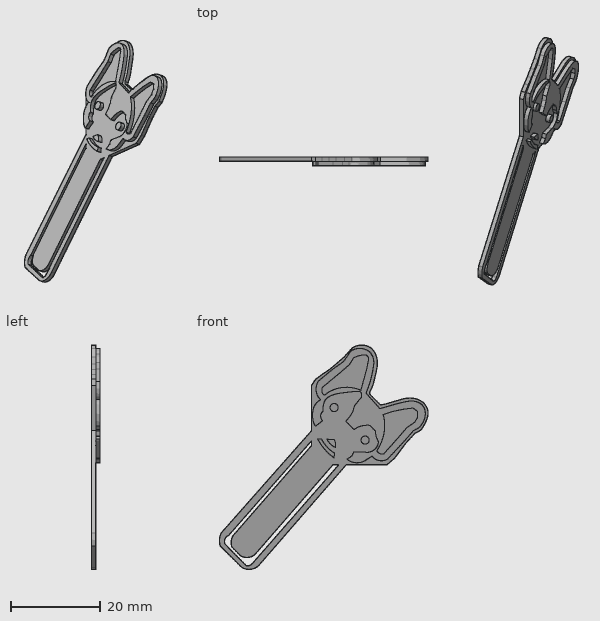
import cadquery as cq

TOTAL_THICKNESS = 2.0
RELIEF_HEIGHT = 1.0
PLATE_THICKNESS = TOTAL_THICKNESS - RELIEF_HEIGHT

EYE_DIAMETER = 1.8
EYE_CENTRES = [(25.7, 36.2), (32.65, 28.95)]


HEAD_LEFT = 20.65
HEAD_BOTTOM = 23.4

PLATE_START = (HEAD_LEFT, 31.05)
PLATE_EDGES = [
    [(HEAD_LEFT, 41.15)],
    [(21.55, 42.55)],
    [(23.05, 43.65)],
    [(24.6, 44.7)],
    [(26.1, 45.95)],
    [(27.95, 47.55)],
    [(29.65, 49.4)],
    [(30.75, 50.0), (32.25, 50.15), (33.9, 49.55), (35.0, 48.1),
     (35.4, 46.2), (35.05, 43.85), (34.45, 41.4), (33.7, 39.7)],
    [(33.7, 39.15)],
    [(36.05, 36.8)],
    [(39.0, 37.55), (43.35, 38.3), (45.7, 37.25), (46.7, 35.4), (46.2, 33.0), (45.1, 31.15)],
    [(43.75, 30.4)],
    [(41.8, 28.25)],
    [(40.5, 26.5)],
    [(39.2, 24.85)],
    [(37.5, HEAD_BOTTOM)],
    [(28.4, HEAD_BOTTOM)],
    [(9.15, 1.2)],
    [(6.85, 0.0), (5.05, 0.45)],
    [(0.25, 5.2)],
    [(0.05, 6.75), (0.45, 8.2)],
]

OPENING_START = (HEAD_LEFT, 28.75)
OPENING_EDGES = [
    [(2.15, 7.65)],
    [(1.25, 6.6), (1.35, 5.65)],
    [(6.05, 0.9)],
    [(6.75, 0.9), (7.3, 1.2)],
    [(26.7, HEAD_BOTTOM)],
    [(25.45, HEAD_BOTTOM)],
    [(8.1, 3.4)],
    [(6.35, 2.65), (4.75, 3.05)],
    [(2.8, 5.05)],
    [(2.75, 6.8), (3.7, 8.3)],
    [(HEAD_LEFT, 27.7)],
]

FUR_START = (32.85, 39.4)
FUR_EDGES = [
    [(33.8, 42.1), (34.45, 45.05), (34.55, 46.8), (33.9, 48.35),
     (32.8, 49.15), (31.25, 49.4), (29.75, 49.0), (29.0, 48.2)],
    [(28.25, 47.1), (27.55, 46.3)],
    [(25.4, 44.8)],
    [(22.15, 42.1)],
    [(21.7, 40.7), (21.85, 39.2), (22.7, 37.95)],
    [(21.1, 36.05), (20.9, 34.4), (21.1, 32.95), (21.55, 32.05)],
    [(23.15, 33.3)],
    [(22.7, 34.2), (23.25, 35.4)],
    [(23.35, 36.95), (23.85, 38.05), (25.0, 38.85), (28.15, 39.55), (30.15, 39.75), (31.55, 39.75)],
    [(31.85, 39.2), (31.7, 38.3)],
    [(31.25, 37.85)],
    [(30.25, 36.55)],
    [(29.95, 35.4)],
    [(29.25, 34.2)],
    [(28.3, 33.15)],
    [(30.15, 31.3)],
    [(31.65, 32.05), (33.7, 32.25)],
    [(34.95, 30.95)],
    [(35.05, 29.8)],
    [(35.6, 28.6)],
    [(35.25, 27.4), (34.1, 26.4), (32.8, 26.2)],
    [(30.15, 26.3)],
    [(29.7, 25.4)],
    [(28.6, 24.65)],
    [(29.55, 24.1), (31.9, 24.0), (33.0, 24.55), (34.2, 25.35)],
    [(35.05, 24.6), (36.25, 24.3), (37.6, 24.65)],
    [(41.4, 28.7)],
    [(43.45, 31.05)],
    [(44.6, 31.65)],
    [(45.8, 33.4), (46.05, 35.4), (45.5, 36.65), (43.95, 37.55), (41.0, 37.35), (39.0, 36.85), (35.95, 35.95)],
]

LEFT_EAR_START = (31.7, 40.1)
LEFT_EAR_EDGES = [
    [(33.0, 44.85)],
    [(33.4, 46.9)],
    [(33.25, 47.6), (32.7, 48.0)],
    [(31.15, 47.75), (30.05, 47.3)],
    [(29.15, 45.8)],
    [(26.95, 43.95)],
    [(24.0, 41.5)],
    [(23.15, 40.8)],
    [(22.95, 39.9), (23.55, 38.95)],
    [(25.4, 40.15), (27.35, 40.7), (29.55, 40.7), (31.7, 40.1)],
]

RIGHT_EAR_START = (36.65, 34.65)
RIGHT_EAR_EDGES = [
    [(39.75, 35.55), (43.35, 36.1)],
    [(44.4, 35.3)],
    [(44.4, 34.1)],
    [(43.75, 32.95)],
    [(41.95, 31.7)],
    [(39.75, 29.2)],
    [(36.8, 25.85)],
    [(36.05, 25.85), (35.25, 26.55)],
    [(36.55, 29.3), (37.0, 31.85), (36.65, 34.65)],
]

NOSE_START = (24.1, 29.15)
NOSE_EDGES = [
    [(25.7, 29.1)],
    [(26.0, 28.25), (25.95, 27.3)],
    [(24.8, 28.1), (24.1, 29.15)],
]

MOUTH_START = (22.0, 29.25)
MOUTH_EDGES = [
    [(22.85, 29.25)],
    [(24.0, 27.5), (25.8, 26.0)],
    [(25.65, 24.95)],
    [(23.45, 27.0), (22.0, 29.25)],
]


def prism(start, edges, front, depth):
    """Close an outline in XZ and extrude it toward +Y from the given front face."""
    sketch = cq.Workplane("XZ", origin=(0, front, 0)).moveTo(*start)
    end = start
    for edge in edges:
        if len(edge) == 1:
            sketch = sketch.lineTo(*edge[0])
        elif len(edge) == 2:
            sketch = sketch.threePointArc(*edge)
        else:
            sketch = sketch.spline([end] + edge)
        end = edge[-1]
    return sketch.close().extrude(-depth)


def make_plate():
    """Plate with the strap, and the clip tongue freed by the opening."""
    plate = prism(PLATE_START, PLATE_EDGES, RELIEF_HEIGHT, PLATE_THICKNESS)
    opening = prism(OPENING_START, OPENING_EDGES, RELIEF_HEIGHT, PLATE_THICKNESS)
    return plate.cut(opening)


def make_fur():
    """Raised head shape, open inside both ears."""
    fur = prism(FUR_START, FUR_EDGES, 0, TOTAL_THICKNESS)
    for start, edges in [(LEFT_EAR_START, LEFT_EAR_EDGES), (RIGHT_EAR_START, RIGHT_EAR_EDGES)]:
        fur = fur.cut(prism(start, edges, 0, RELIEF_HEIGHT))
    return fur


def make_eyes():
    """Round pins for the eyes."""
    eyes = cq.Workplane("XZ").pushPoints(EYE_CENTRES)
    return eyes.circle(EYE_DIAMETER / 2).extrude(-TOTAL_THICKNESS)


result = make_plate().union(make_fur()).union(make_eyes())
for start, edges in [(NOSE_START, NOSE_EDGES), (MOUTH_START, MOUTH_EDGES)]:
    result = result.union(prism(start, edges, 0, TOTAL_THICKNESS))